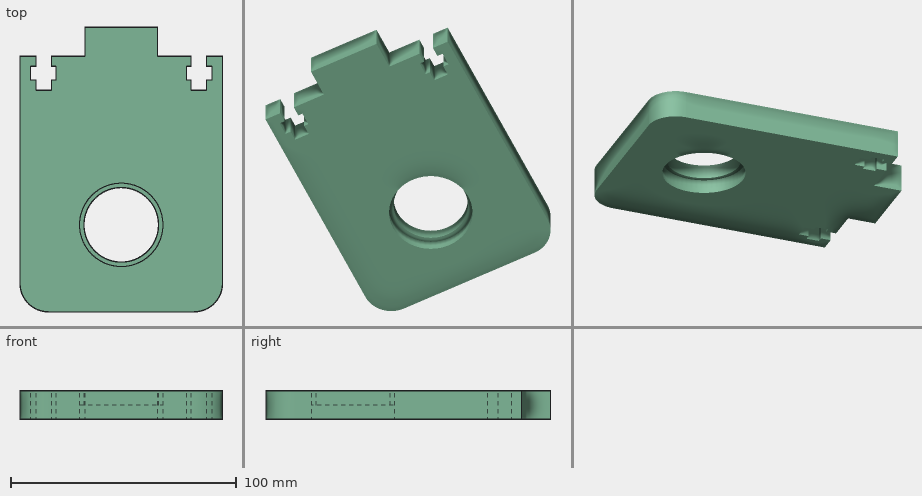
import cadquery as cq

width = 90.0
total_length = 126.3
thickness = 12.8
corner_radius = 12.8
tongue_width = 32.3
tongue_length = 12.9
shoulder_y = total_length - tongue_length

slot_offset = 34.4
slot_width = 6.7
slot_depth = 15.0
cross_offset = 34.6
cross_width = 11.2
cross_length = 6.0
cross_setback = 4.5

bore_y = 38.7
bore_diameter = 37.0
ring_inner_diameter = 33.0
ring_height = thickness / 2
ring_base_z = thickness - ring_height


def box_to_y(box_width, box_length, center_x, end_y):
    """Full-thickness block whose rear face lies at end_y."""
    return (
        cq.Workplane("XY")
        .center(center_x, end_y - box_length / 2)
        .rect(box_width, box_length)
        .extrude(thickness)
    )


def make_slot(side):
    """Open slot with a wider cross arm; side is -1 for left, 1 for right."""
    channel = box_to_y(slot_width, slot_depth, side * slot_offset, shoulder_y)
    cross_arm = box_to_y(cross_width, cross_length, side * cross_offset, shoulder_y - cross_setback)
    return channel.union(cross_arm)


def make_cylinder(diameter, height, base_z):
    """Vertical cylinder on the bore axis."""
    return cq.Workplane("XY", origin=(0, bore_y, base_z)).circle(diameter / 2).extrude(height)


def make_plate():
    """Plate with rounded front corners, rear tongue, two slots and a through bore."""
    plate = box_to_y(width, shoulder_y, 0, shoulder_y)
    plate = plate.edges("|Z and <Y").fillet(corner_radius)
    plate = plate.union(box_to_y(tongue_width, tongue_length, 0, total_length))
    for side in (-1, 1):
        plate = plate.cut(make_slot(side))
    return plate.cut(make_cylinder(bore_diameter, thickness, 0))


def make_ring():
    """Ring that fills the bore diameter, flush with the top face."""
    ring = make_cylinder(bore_diameter, ring_height, ring_base_z)
    return ring.cut(make_cylinder(ring_inner_diameter, ring_height, ring_base_z))


plate = make_plate().solids()
ring = make_ring().solids()

result = cq.Compound.makeCompound([plate.val(), ring.val()])